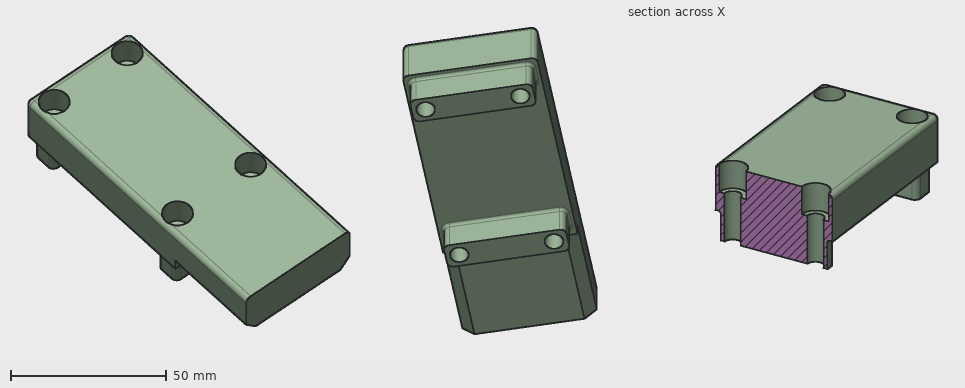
import cadquery as cq

body_length = 109.0
body_width = 44.0
body_height = 17.0
body_round = 2.0

bar_height = 10.5
bar_inset = body_round
bar_length = body_width - 2 * bar_inset
bar_thickness = 9.0
bar_corner_round = 2.0
bar_root_round = 1.0
selection_margin = 0.2

hole_diameter = 6.0
counterbore_diameter = 10.0
counterbore_depth = 10.0
hole_pitch_x = 61.0
hole_pitch_y = 31.0
first_hole_x = bar_inset + bar_thickness / 2
hole_columns = [first_hole_x, first_hole_x + hole_pitch_x]

bevel_height = 4.0
bevel_depth = 4.0
bevel_start_x = 74.0


def make_body():
    """Block rounded on top and on the vertical edges of its -X end, square at +X."""
    block = cq.Workplane("XY").box(
        body_length, body_width, body_height, centered=(False, True, False)
    )
    block = block.edges("|Z and <X").fillet(body_round)
    top_edges = block.faces(">Z").edges("not >X")
    return top_edges.fillet(body_round)


def add_bar(solid, center_x):
    """Rounded bar across the underside, with a fillet where it meets the body."""
    bar = (
        cq.Workplane("XY")
        .center(center_x, 0)
        .rect(bar_thickness, bar_length)
        .extrude(-bar_height)
        .edges("|Z")
        .fillet(bar_corner_round)
    )
    reach_x = bar_thickness / 2 + selection_margin
    reach_y = bar_length / 2 + selection_margin
    root_zone = cq.selectors.BoxSelector(
        (center_x - reach_x, -reach_y, -selection_margin),
        (center_x + reach_x, reach_y, selection_margin),
        boundingbox=True,
    )
    return solid.union(bar).edges(root_zone).fillet(bar_root_round)


def make_bevel_cutter(side):
    """Triangular prism along one lower long edge; side is -1 for -Y, +1 for +Y."""
    edge_y = side * body_width / 2
    corner_points = [
        (edge_y, 0),
        (edge_y, bevel_height),
        (edge_y - side * bevel_depth, 0),
    ]
    return (
        cq.Workplane("YZ", origin=(bevel_start_x, 0, 0))
        .polyline(corner_points)
        .close()
        .extrude(body_length - bevel_start_x)
    )


def drill_holes(solid):
    """Through holes counterbored from the top face."""
    hole_centers = [
        (x, side * hole_pitch_y / 2) for x in hole_columns for side in (-1, 1)
    ]
    return (
        solid.copyWorkplane(cq.Workplane("XY", origin=(0, 0, body_height)))
        .pushPoints(hole_centers)
        .cboreHole(hole_diameter, counterbore_diameter, counterbore_depth)
    )


part = make_body()
for column_x in hole_columns:
    part = add_bar(part, column_x)
for bevel_side in (-1, 1):
    part = part.cut(make_bevel_cutter(bevel_side))
result = drill_holes(part)